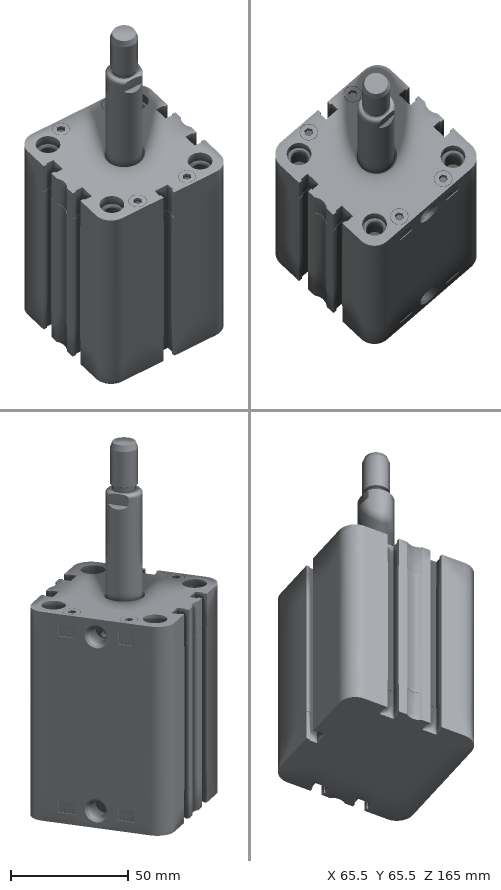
import cadquery as cq
import math

TOTAL_HEIGHT = 165.0
CAP_HEIGHT = 14.8
TUBE_HEIGHT = 65.5
TUBE_TOP = CAP_HEIGHT + TUBE_HEIGHT
BODY_TOP = TUBE_TOP + CAP_HEIGHT

BODY_SIDE = 65.5
HALF_SIDE = BODY_SIDE / 2
CORNER_RADIUS = 8.0

SLOT_OFFSET = 10.5
SLOT_MOUTH = 5.3
SLOT_WIDTH = 6.6
SLOT_LIP = 2.0
SLOT_DEPTH = 5.5

GROOVE_WIDTH = 7.0
GROOVE_DEPTH = 1.2
GROOVE_RADIUS = ((GROOVE_WIDTH / 2) ** 2 + GROOVE_DEPTH**2) / (2 * GROOVE_DEPTH)

CAP_SETBACK = 0.2

ROD_DIAMETER = 16.0
SHOULDER_Z = 143.2
SHOULDER_FILLET = 1.6
NECK_DIAMETER = 10.0
THREAD_DIAMETER = 12.0
THREAD_START = 146.0
THREAD_RUNOUT = 0.5
TIP_DIAMETER = 10.0
TIP_CHAMFER_HEIGHT = 2.6
FLAT_WIDTH = 13.0
FLAT_BOTTOM = 138.1

ROD_PASSAGE_DIAMETER = 16.5
ROD_MOUTH_DIAMETER = 18.0

MOUNT_OFFSET = 23.3
MOUNT_BORE_DIAMETER = 10.5
MOUNT_BORE_DEPTH = 4.6
MOUNT_HOLE_DIAMETER = 7.5
MOUNT_CHAMFER_DIAMETER = 8.5

SCREW_X = 27.9
SCREW_Y = 13.0
SCREW_SEAT_DIAMETER = 7.8
SCREW_HEAD_DIAMETER = 7.5
SCREW_RING_DEPTH = 1.0
SCREW_HEX_FLATS = 3.5
SCREW_HEX_DEPTH = 2.0

PORT_INSET = 8.0
PORT_MOUTH_DIAMETER = 10.5
PORT_DIAMETER = 8.5
PORT_DEPTH = 9.9
DUCT_DIAMETER = 3.5
DUCT_DROP = 2.1
DUCT_DEPTH = 3.3

LABEL_OFFSET = 13.7
LABEL_INSET = 7.5
LABEL_WIDTH = 7.3
LABEL_HEIGHT = 5.1
LABEL_DEPTH = 0.3


def cone(bottom_diameter, top_diameter, height):
    """Truncated cone standing on the XY plane."""
    return cq.Workplane(cq.Solid.makeCone(bottom_diameter / 2, top_diameter / 2, height))


def t_slot(height, setback):
    """Cutter for a T-slot that opens toward +Y, with each wall moved outward by the setback."""
    mouth_width = SLOT_MOUTH + 2 * setback
    chamber_width = SLOT_WIDTH + 2 * setback
    lip = SLOT_LIP - setback
    depth = SLOT_DEPTH + setback
    mouth = cq.Workplane().rect(mouth_width, 2 * depth).extrude(height)
    chamber = (
        cq.Workplane()
        .center(0, -(lip + depth) / 2)
        .rect(chamber_width, depth - lip)
        .extrude(height)
    )
    return mouth.union(chamber).translate((0, HALF_SIDE, 0))


def side_groove(height, setback):
    """Cutter for the rounded groove on the +Y side, with its wall moved outward by the setback."""
    axis_y = HALF_SIDE - GROOVE_DEPTH + GROOVE_RADIUS
    return cq.Workplane().center(0, axis_y).circle(GROOVE_RADIUS + setback).extrude(height)


def profile_block(height, setback=0):
    """Square block with rounded corners, T-slots and side grooves, standing on the XY plane."""
    block = cq.Workplane().rect(BODY_SIDE, BODY_SIDE).extrude(height)
    block = block.edges("|Z").fillet(CORNER_RADIUS)
    slot = t_slot(height, setback)
    y_side = side_groove(height, setback)
    for x in (-SLOT_OFFSET, SLOT_OFFSET):
        y_side = y_side.union(slot.translate((x, 0, 0)))
    block = block.cut(y_side).cut(y_side.mirror("XZ"))
    return block.cut(slot.rotate((0, 0, 0), (0, 0, 1), -90))


def port():
    """Cutter for a chamfered blind port, along +X from the origin."""
    chamfer = (PORT_MOUTH_DIAMETER - PORT_DIAMETER) / 2
    bore = cq.Workplane().circle(PORT_DIAMETER / 2).extrude(PORT_DEPTH)
    bore = bore.union(cone(PORT_MOUTH_DIAMETER, PORT_DIAMETER, chamfer))
    return bore.rotate((0, 0, 0), (0, 1, 0), 90)


def cut_port_and_labels(cap, port_z, label_z):
    """Cut the port and its two label recesses into the -X side of a cap."""
    cap = cap.cut(port().translate((-HALF_SIDE, 0, port_z)))
    for y in (-LABEL_OFFSET, LABEL_OFFSET):
        label = cq.Workplane().box(2 * LABEL_DEPTH, LABEL_WIDTH, LABEL_HEIGHT)
        cap = cap.cut(label.translate((-HALF_SIDE, y, label_z)))
    return cap


def rod_passage():
    """Cutter for the rod hole through the head cap, with a chamfered mouth."""
    chamfer = (ROD_MOUTH_DIAMETER - ROD_PASSAGE_DIAMETER) / 2
    bore = cq.Workplane().circle(ROD_PASSAGE_DIAMETER / 2).extrude(CAP_HEIGHT)
    mouth = cone(ROD_PASSAGE_DIAMETER, ROD_MOUTH_DIAMETER, chamfer)
    return bore.union(mouth.translate((0, 0, CAP_HEIGHT - chamfer))).translate((0, 0, TUBE_TOP))


def mounting_hole():
    """Cutter for a counterbored hole through the head cap."""
    chamfer = (MOUNT_CHAMFER_DIAMETER - MOUNT_HOLE_DIAMETER) / 2
    bore_floor = CAP_HEIGHT - MOUNT_BORE_DEPTH
    hole = cq.Workplane().circle(MOUNT_HOLE_DIAMETER / 2).extrude(CAP_HEIGHT)
    lead_in = cone(MOUNT_HOLE_DIAMETER, MOUNT_CHAMFER_DIAMETER, chamfer)
    counterbore = cq.Workplane().circle(MOUNT_BORE_DIAMETER / 2).extrude(MOUNT_BORE_DEPTH)
    hole = hole.union(lead_in.translate((0, 0, bore_floor - chamfer)))
    hole = hole.union(counterbore.translate((0, 0, bore_floor)))
    return hole.translate((0, 0, TUBE_TOP))


def screw_head():
    """Cutter for the ring groove and the hexagon socket of a flush screw head."""
    ring = (
        cq.Workplane()
        .circle(SCREW_SEAT_DIAMETER / 2)
        .circle(SCREW_HEAD_DIAMETER / 2)
        .extrude(-SCREW_RING_DEPTH)
    )
    hex_corners = SCREW_HEX_FLATS / math.cos(math.pi / 6)
    socket = cq.Workplane().polygon(6, hex_corners).extrude(-SCREW_HEX_DEPTH)
    socket = socket.rotate((0, 0, 0), (0, 0, 1), 90)
    return ring.union(socket).translate((0, 0, BODY_TOP))


def make_end_cap():
    return cut_port_and_labels(profile_block(CAP_HEIGHT, CAP_SETBACK), PORT_INSET, LABEL_INSET)


def make_tube():
    return profile_block(TUBE_HEIGHT).translate((0, 0, CAP_HEIGHT))


def make_head_cap():
    port_z = BODY_TOP - PORT_INSET
    cap = profile_block(CAP_HEIGHT, CAP_SETBACK).translate((0, 0, TUBE_TOP))
    cap = cut_port_and_labels(cap, port_z, BODY_TOP - LABEL_INSET)
    duct = cq.Workplane("YZ").circle(DUCT_DIAMETER / 2).extrude(DUCT_DEPTH)
    cap = cap.cut(duct.translate((PORT_DEPTH - HALF_SIDE, 0, port_z - DUCT_DROP)))
    cap = cap.cut(rod_passage())
    for x_sign in (-1, 1):
        for y_sign in (-1, 1):
            cap = cap.cut(mounting_hole().translate((x_sign * MOUNT_OFFSET, y_sign * MOUNT_OFFSET, 0)))
            cap = cap.cut(screw_head().translate((x_sign * SCREW_X, y_sign * SCREW_Y, 0)))
    return cap


def wrench_flat():
    """Cutter for the flat on the +X side of the rod, with a 45 degree run-out at its lower end."""
    depth = (ROD_DIAMETER - FLAT_WIDTH) / 2
    flat_x = FLAT_WIDTH / 2
    return (
        cq.Workplane("XZ")
        .moveTo(flat_x, SHOULDER_Z)
        .lineTo(flat_x, FLAT_BOTTOM)
        .lineTo(flat_x + depth, FLAT_BOTTOM - depth)
        .lineTo(flat_x + depth, SHOULDER_Z)
        .close()
        .extrude(ROD_DIAMETER / 2, both=True)
    )


def make_rod():
    rod_radius = ROD_DIAMETER / 2
    neck_radius = NECK_DIAMETER / 2
    thread_radius = THREAD_DIAMETER / 2
    fillet_middle = SHOULDER_FILLET * math.sqrt(0.5)
    rod = (
        cq.Workplane("XZ")
        .moveTo(0, TUBE_TOP)
        .lineTo(rod_radius, TUBE_TOP)
        .lineTo(rod_radius, SHOULDER_Z - SHOULDER_FILLET)
        .threePointArc(
            (
                rod_radius - SHOULDER_FILLET + fillet_middle,
                SHOULDER_Z - SHOULDER_FILLET + fillet_middle,
            ),
            (rod_radius - SHOULDER_FILLET, SHOULDER_Z),
        )
        .lineTo(neck_radius, SHOULDER_Z)
        .lineTo(neck_radius, THREAD_START - THREAD_RUNOUT)
        .lineTo(thread_radius, THREAD_START)
        .lineTo(thread_radius, TOTAL_HEIGHT - TIP_CHAMFER_HEIGHT)
        .lineTo(TIP_DIAMETER / 2, TOTAL_HEIGHT)
        .lineTo(0, TOTAL_HEIGHT)
        .close()
        .revolve(360, (0, 0, 0), (0, 1, 0))
    )
    flat = wrench_flat()
    return rod.cut(flat).cut(flat.mirror("YZ"))


end_cap = make_end_cap()
tube = make_tube()
head_cap = make_head_cap()
rod = make_rod()

result = cq.Compound.makeCompound([end_cap.val(), tube.val(), head_cap.val(), rod.val()])